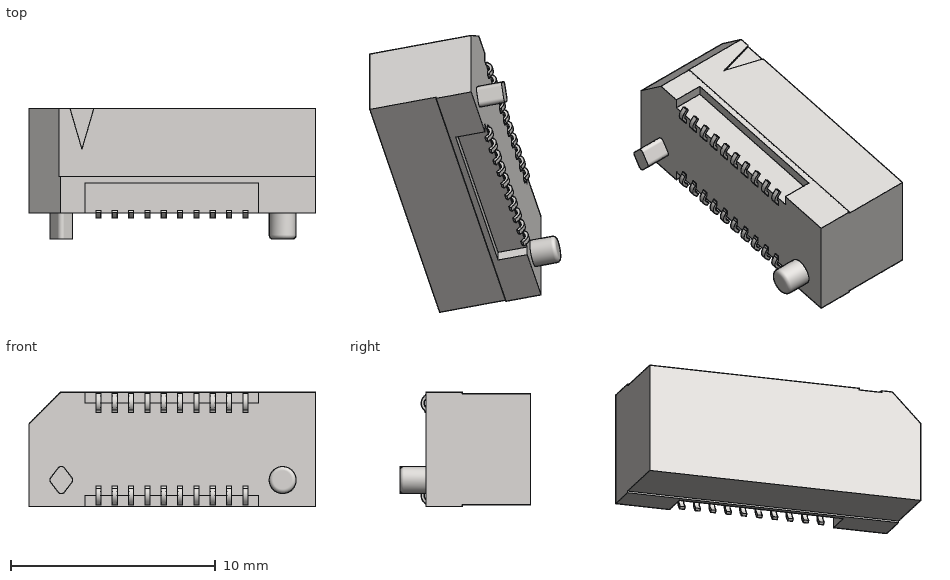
import cadquery as cq
import math

LENGTH = 14
HEIGHT = 5.6
OVERALL_DEPTH = 6.38
PEG_LENGTH = 1.27
HOUSING_DEPTH = OVERALL_DEPTH - PEG_LENGTH

CORNER_CHAMFER = 1.55
FLANGE_DEPTH = 1.78
REAR_STEP = 0.08

MARK_X = -4.41
MARK_WIDTH = 1.16
MARK_LENGTH = 1.99
MARK_DEPTH = 0.08

ROW_X = -0.01
RECESS_WIDTH = 8.47
RECESS_DEPTH = 1.47
RECESS_HEIGHT = 0.55
RECESS_FLOOR_Z = HEIGHT / 2 - RECESS_HEIGHT

CONTACTS_PER_ROW = 10
CONTACT_PITCH = 0.8
CONTACT_WIDTH = 0.25
CONTACT_THICKNESS = 0.15
CONTACT_RADIUS = 0.45
CONTACT_PROUD = 0.24
CONTACT_HALF_SPAN = 0.46
LEG_ANGLE = math.radians(42)
FOOT_ANGLE = math.radians(50)
FOOT_THICKNESS = 0.03

PEG_Z = -1.5
ROUND_PEG_X = 5.39
ROUND_PEG_DIAMETER = 1.32
ROUND_PEG_FILLET = 0.2
DIAMOND_PEG_X = -5.42
DIAMOND_WIDTH = 1.2
DIAMOND_HEIGHT = 1.58
DIAMOND_CORNER_RADIUS = 0.2


def block(width, depth, height, x, y_start, z):
    """Box centred on x and z, running from y_start towards +Y."""
    return cq.Workplane("XY").box(width, depth, height).translate((x, y_start + depth / 2, z))


def housing_shell():
    """Stepped block with its upper -X edge bevelled along the whole depth."""
    flange = block(LENGTH, FLANGE_DEPTH, HEIGHT, 0, 0, 0)
    rear_depth = HOUSING_DEPTH - FLANGE_DEPTH
    rear = block(LENGTH, rear_depth, HEIGHT - 2 * REAR_STEP, 0, FLANGE_DEPTH, 0)
    left = -LENGTH / 2
    top = HEIGHT / 2
    bevel = (
        cq.Workplane("XZ")
        .polyline([(left, top), (left + CORNER_CHAMFER, top), (left, top - CORNER_CHAMFER)])
        .close()
        .extrude(-HOUSING_DEPTH)
    )
    return flange.union(rear).cut(bevel)


def pin_one_mark():
    """Triangular pocket, open at the rear face and pointing to the mounting face."""
    top = HEIGHT / 2 - REAR_STEP
    return (
        cq.Workplane("XY", origin=(MARK_X, HOUSING_DEPTH, top))
        .polyline([(-MARK_WIDTH / 2, 0), (MARK_WIDTH / 2, 0), (0, -MARK_LENGTH)])
        .close()
        .extrude(-MARK_DEPTH)
    )


def row_recess():
    """Cutter for the upper contact recess, open at the top and at the mounting face."""
    z = RECESS_FLOOR_Z + RECESS_HEIGHT / 2
    return block(RECESS_WIDTH, RECESS_DEPTH, RECESS_HEIGHT, ROW_X, 0, z)


def upper_contact(x):
    """Bowed strip whose crest is level with the recess floor and whose foot rests on the face."""
    inner_radius = CONTACT_RADIUS - CONTACT_THICKNESS
    centre_y = CONTACT_RADIUS - CONTACT_PROUD

    def on_bow(radius, angle):
        """Point on the bow, with the angle measured upwards from the crest."""
        return centre_y - radius * math.cos(angle), radius * math.sin(angle)

    leg_start = on_bow(CONTACT_RADIUS, LEG_ANGLE)
    leg_length = (CONTACT_HALF_SPAN - leg_start[1]) / math.cos(LEG_ANGLE)
    leg_y = leg_length * math.sin(LEG_ANGLE)
    leg_z = leg_length * math.cos(LEG_ANGLE)
    inner_leg_start = on_bow(inner_radius, LEG_ANGLE)

    inner_face_angle = math.acos(centre_y / inner_radius)

    profile = (
        cq.Workplane("YZ", origin=(x - CONTACT_WIDTH / 2, 0, RECESS_FLOOR_Z))
        .moveTo(0, -CONTACT_HALF_SPAN)
        .lineTo(-FOOT_THICKNESS, -CONTACT_HALF_SPAN)
        .lineTo(*on_bow(CONTACT_RADIUS, -FOOT_ANGLE))
        .threePointArc(on_bow(CONTACT_RADIUS, 0), leg_start)
        .lineTo(leg_start[0] + leg_y, leg_start[1] + leg_z)
        .lineTo(inner_leg_start[0] + leg_y, inner_leg_start[1] + leg_z)
        .lineTo(*inner_leg_start)
        .threePointArc(on_bow(inner_radius, 0), on_bow(inner_radius, -inner_face_angle))
        .close()
    )
    return profile.extrude(CONTACT_WIDTH)


def make_housing():
    """Housing with both recesses, the pin-one mark and two mirrored rows of contacts."""
    recess = row_recess()
    housing = housing_shell().cut(pin_one_mark()).cut(recess).cut(recess.mirror("XY"))
    first_x = ROW_X - CONTACT_PITCH * (CONTACTS_PER_ROW - 1) / 2
    for index in range(CONTACTS_PER_ROW):
        contact = upper_contact(first_x + index * CONTACT_PITCH)
        housing = housing.union(contact).union(contact.mirror("XY"))
    return housing


def make_round_peg():
    """Cylindrical peg with a rounded free end."""
    return (
        cq.Workplane("XZ", origin=(ROUND_PEG_X, 0, PEG_Z))
        .circle(ROUND_PEG_DIAMETER / 2)
        .extrude(PEG_LENGTH)
        .faces("<Y")
        .edges()
        .fillet(ROUND_PEG_FILLET)
    )


def make_diamond_peg():
    """Diamond-shaped peg with rounded corners."""
    half_width = DIAMOND_WIDTH / 2
    half_height = DIAMOND_HEIGHT / 2
    return (
        cq.Workplane("XZ", origin=(DIAMOND_PEG_X, 0, PEG_Z))
        .polyline([(half_width, 0), (0, half_height), (-half_width, 0), (0, -half_height)])
        .close()
        .extrude(PEG_LENGTH)
        .edges("|Y")
        .fillet(DIAMOND_CORNER_RADIUS)
    )


housing = make_housing().solids()
round_peg = make_round_peg().solids()
diamond_peg = make_diamond_peg().solids()

result = cq.Compound.makeCompound([housing.val(), round_peg.val(), diamond_peg.val()])